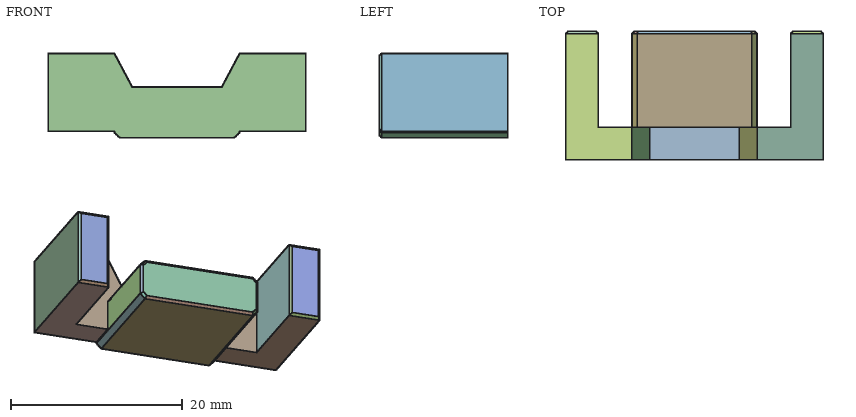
import cadquery as cq

length = 30.0
depth = 15.0
height = 9.85

wall = 3.8
leg_bottom = 0.75
tip_chamfer = 0.3

notch_top_width = 14.58
notch_floor_width = 10.45
notch_depth = 3.9
notch_floor = height - notch_depth

post_width = notch_top_width
post_bevel = 0.6
post_top = 4.9


def box_between(x_min, x_max, y_min, y_max, z_min, z_max):
    size = (x_max - x_min, y_max - y_min, z_max - z_min)
    return cq.Workplane("XY").box(*size, centered=False).translate((x_min, y_min, z_min))


def make_back_wall():
    wall_box = box_between(-length / 2, length / 2, 0, wall, leg_bottom, height)
    notch = (
        cq.Workplane("XZ")
        .moveTo(-notch_top_width / 2, height)
        .lineTo(-notch_floor_width / 2, notch_floor)
        .lineTo(notch_floor_width / 2, notch_floor)
        .lineTo(notch_top_width / 2, height)
        .close()
        .extrude(-wall)
    )
    return wall_box.cut(notch)


def make_leg(x_min):
    leg = box_between(x_min, x_min + wall, 0, depth, leg_bottom, height)
    return leg.faces(">Y").edges().chamfer(tip_chamfer)


def make_post():
    post = box_between(-post_width / 2, post_width / 2, 0, depth, 0, post_top)
    post = post.edges("|Y").chamfer(post_bevel)
    return post.faces(">Y").edges().chamfer(tip_chamfer)


result = make_back_wall().union(make_post())
for leg_x in (-length / 2, length / 2 - wall):
    result = result.union(make_leg(leg_x))